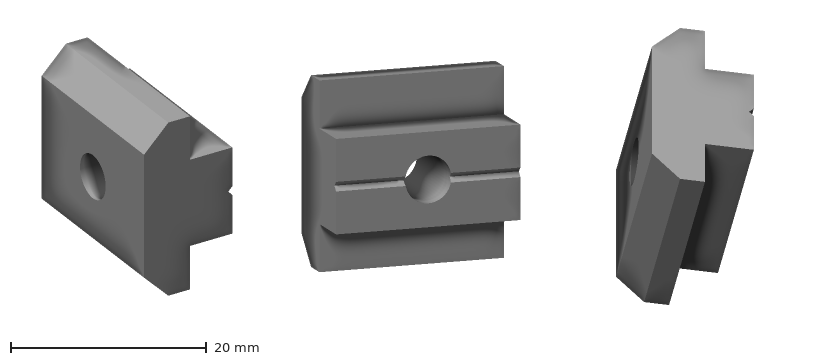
import cadquery as cq

length = 20.0
depth = 10.6
height = 20.1

flange_thickness = 5.5
stem_height = 10.0
chamfer = 2.91

groove_depth = 0.5

hole_diameter = 5.0

front = -depth / 2
back = depth / 2
shoulder = front + flange_thickness


def t_profile():
    """Flange and stem in section, with Y across and Z up, extruded along X."""
    top = height / 2
    stem_top = stem_height / 2
    upper_half = [
        (front, top - chamfer),
        (front + chamfer, top),
        (shoulder, top),
        (shoulder, stem_top),
        (back, stem_top),
        (back, groove_depth),
    ]
    groove_bottom = (back - groove_depth, 0)
    lower_half = [(y, -z) for y, z in reversed(upper_half)]
    return upper_half + [groove_bottom] + lower_half


body = cq.Workplane("YZ").polyline(t_profile()).close().extrude(length / 2, both=True)

hole = cq.Workplane("XZ").circle(hole_diameter / 2).extrude(depth, both=True)

result = body.cut(hole)